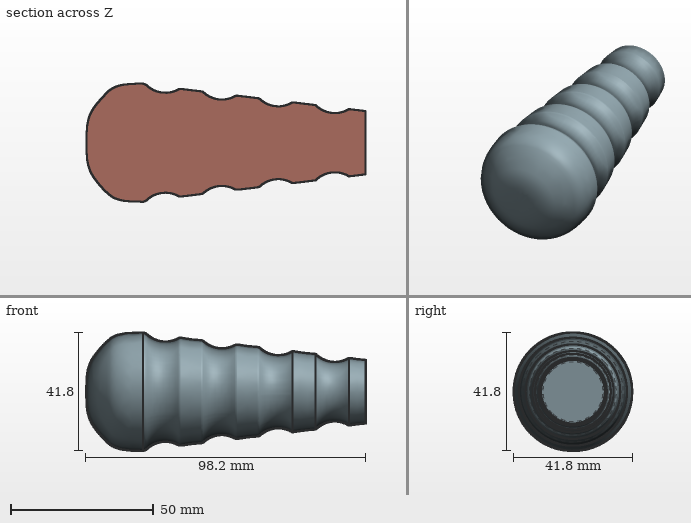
import cadquery as cq
import math

length = 98.2
head_radius = 20.88
head_length = 19.9
tip_radius = 11.2
taper = 0.12

groove_count = 4
groove_pitch = 19.8
groove_width = 11.8
groove_depth = 2.1
last_groove_end = 92.3
rounded_grooves = 3
rounded_crests = 2
lip_radius = 1.4

dome_points = [(1.9, 11.1), (6.0, 16.4)]


def taper_radius(x):
    """Radius of the tapered body at x."""
    return tip_radius + taper * (length - x)


taper_angle = math.atan(taper)
groove_ends = [last_groove_end - groove_pitch * (groove_count - 1 - i) for i in range(groove_count)]
groove_starts = [end - groove_width for end in groove_ends]

profile = (
    cq.Workplane("XY")
    .moveTo(0, 0)
    .spline(dome_points + [(head_length, head_radius)], tangents=[(0, 1), (1, 0)], includeCurrent=True)
)
for start, end in zip(groove_starts, groove_ends):
    middle = (start + end) / 2
    bottom = (
        middle - groove_depth * math.sin(taper_angle),
        taper_radius(middle) - groove_depth * math.cos(taper_angle),
    )
    profile = profile.lineTo(start, taper_radius(start))
    profile = profile.threePointArc(bottom, (end, taper_radius(end)))
profile = profile.lineTo(length, tip_radius).lineTo(length, 0).close()
body = profile.revolve(360, (0, 0, 0), (1, 0, 0))

rounded_lips = groove_starts[:rounded_grooves] + groove_ends[:rounded_crests]


def ring_edge(x):
    """Select the circular edge that lies at x."""
    margin = 0.1
    reach = head_radius + 1
    return cq.selectors.BoxSelector(
        (x - margin, -reach, -reach), (x + margin, reach, reach), boundingbox=True
    )


for lip in rounded_lips:
    body = body.edges(ring_edge(lip)).fillet(lip_radius)

result = body